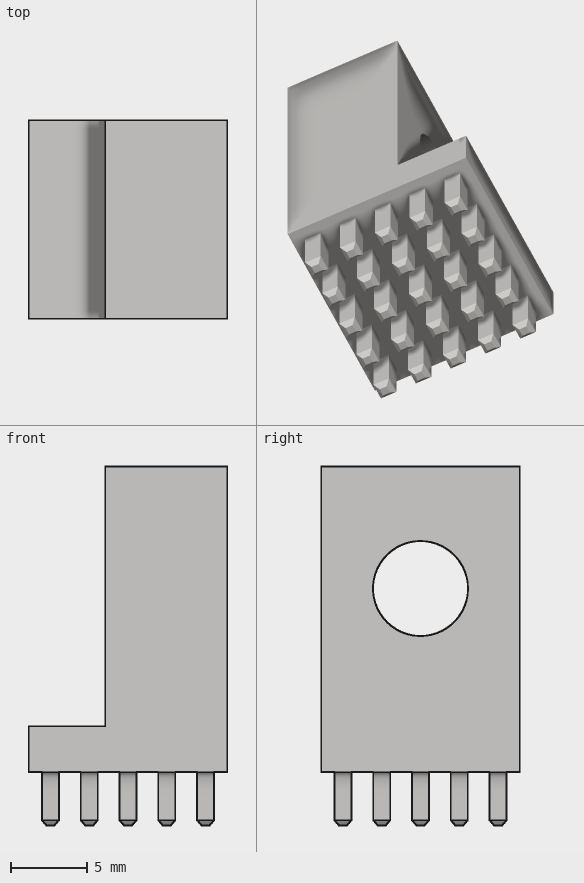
import cadquery as cq

total_height = 23.5
body_size = 13.0
pin_length = 3.5
base_thickness = 3.0
wall_thickness = 8.0
hole_diameter = 6.2
hole_drop = 8.0
pins_per_side = 5
pin_pitch = 2.54
pin_width = 1.13
tip_height = 0.35
tip_inset = 0.3

base_bottom = pin_length
base_top = base_bottom + base_thickness
half_size = body_size / 2
wall_front = half_size - wall_thickness
hole_height = total_height - hole_drop


def make_body():
    """L-shaped block: a low base with an upright wall along its +X side."""
    profile = [
        (-half_size, base_bottom),
        (half_size, base_bottom),
        (half_size, total_height),
        (wall_front, total_height),
        (wall_front, base_top),
        (-half_size, base_top),
    ]
    return cq.Workplane("XZ").polyline(profile).close().extrude(half_size, both=True)


def make_hole():
    """Cylinder along X that passes through the wall."""
    return (
        cq.Workplane("YZ", origin=(wall_front, 0, 0))
        .center(0, hole_height)
        .circle(hole_diameter / 2)
        .extrude(wall_thickness)
    )


def make_pins():
    """Square grid of square pins with tapered ends."""
    tip_width = pin_width - 2 * tip_inset
    shanks = (
        cq.Workplane("XY", origin=(0, 0, tip_height))
        .rarray(pin_pitch, pin_pitch, pins_per_side, pins_per_side)
        .rect(pin_width, pin_width)
        .extrude(pin_length - tip_height)
    )
    tip = (
        cq.Workplane("XY")
        .rect(tip_width, tip_width)
        .workplane(offset=tip_height)
        .rect(pin_width, pin_width)
        .loft(ruled=True)
    )
    tips = (
        cq.Workplane("XY")
        .rarray(pin_pitch, pin_pitch, pins_per_side, pins_per_side)
        .eachpoint(tip.val(), combine=False)
    )
    return shanks.union(tips)


result = make_body().cut(make_hole()).union(make_pins())